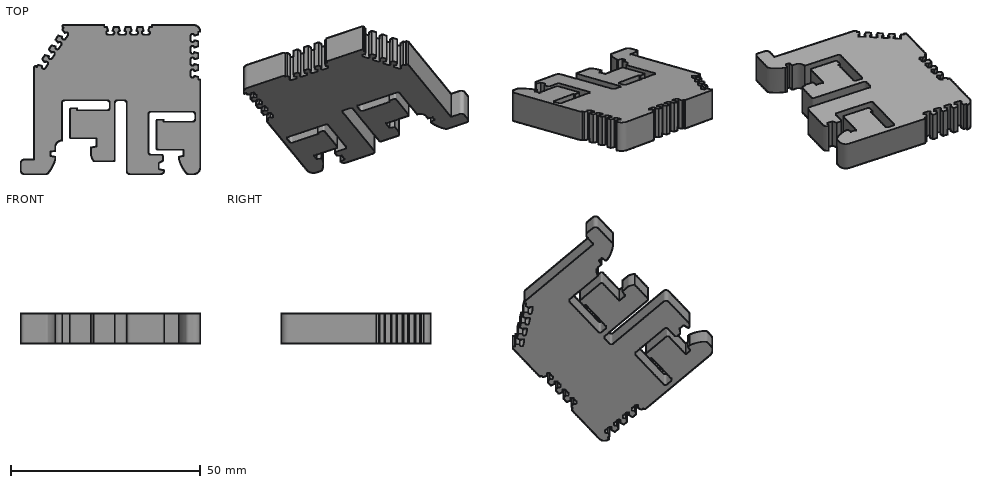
import cadquery as cq
import math

LENGTH = 47.5
HEIGHT = 39.5
THICKNESS = 8.0

FOOT_HEIGHT = 3.95
WALL_X = 3.5
SLOPE_BOTTOM = (WALL_X, 28.25)
SLOPE_TOP = (11.25, HEIGHT)

SLOT_COUNT = 4
SLOT_PITCH = 3.15
RACK_LENGTH = SLOT_COUNT * SLOT_PITCH
RECESS_DEPTH = 0.5
RECESS_END_RADIUS = 0.2
MOUTH_WIDTH = 1.8
NECK_WIDTH = 1.15
NECK_DEPTH = 1.1
BULB_HEIGHT = 0.95
TOP_RACK_X = 28.4
SIDE_RACK_Y = 31.35

SLOT_HEIGHT = 2.55
BLOCK_GAP = 2.05
BLOCK_HEIGHT = 8.0
LIP_LENGTH = 1.9

LEFT_SLOT_X = 10.95
LEFT_SLOT_END = 23.5
LEFT_SLOT_TOP = 19.5
LEFT_SHOULDER_X = 20.0

RIGHT_SLOT_X = 33.8
RIGHT_SLOT_END = 46.08
RIGHT_SLOT_TOP = 16.55
RIGHT_SHOULDER_X = 43.05

HOOK_HEIGHT = 4.05
HOOK_REACH = 2.25
HOOK_BULGE = -0.3
LEFT_HOOK_X = 9.2
RIGHT_HOOK_X = 41.8
LEFT_HOOK_BASE = (LEFT_HOOK_X - HOOK_REACH, 0)
RIGHT_HOOK_BASE = (RIGHT_HOOK_X + HOOK_REACH, 0)
HOOK_TIP_TOP = 4.65
RIGHT_HOOK_ROOT_Y = 4.95

NOTCH_X = 7.95
NOTCH_BOTTOM = 4.9
NOTCH_TOP = 6.0
NOTCH_MOUTH_TOP = 6.18
COVE_BOTTOM = 7.55
COVE_TOP = 8.95
COVE_RADIUS = 1.8

LEG_TIP_X = 18.55
LEG_TIP_TOP = 7.12
LEG_SHOULDER_Y = 7.4
LEG_FLANK_TOP = 5.05
LEG_BASE_X = 19.35
LEG_BOTTOM = 3.45
LEG_BULGE = -0.1
SLIT_LEFT = 24.95
SLIT_RIGHT = 28.0

TOE_LEDGE_Y = 5.22
TOE_UPPER_X = 37.65
TOE_LOWER_X = 38.0
TOE_BASE_X = 36.85
TOE_TIP_Y = 1.1
TOE_RADIUS = 1.2
TOE_NOTCH_X = 36.55
TOE_NOTCH_BOTTOM = 1.42
TOE_NOTCH_TOP = 3.0
TOE_UPPER_Y = 3.6

OUTER_RADIUS = 1.9
FOOT_RADIUS = 1.0
SLOT_RADIUS = 0.55
BLOCK_RADIUS = 0.45


def prism(sketch):
    return sketch.close().extrude(THICKNESS)


def arc_middle(start, end, bulge):
    """Point beside the middle of a chord, offset to the left of its direction."""
    dx = end[0] - start[0]
    dy = end[1] - start[1]
    chord = math.hypot(dx, dy)
    return (
        (start[0] + end[0]) / 2 - bulge * dy / chord,
        (start[1] + end[1]) / 2 + bulge * dx / chord,
    )


def arc_to(sketch, start, end, bulge):
    return sketch.threePointArc(arc_middle(start, end, bulge), end)


def blank():
    return prism(
        cq.Workplane("XY").polyline([
            (0, 0),
            (0, FOOT_HEIGHT),
            (WALL_X, FOOT_HEIGHT),
            SLOPE_BOTTOM,
            SLOPE_TOP,
            (LENGTH, HEIGHT),
            (LENGTH, 0),
        ])
    )


def spring_slot(left, top, end, shoulder_x):
    """Corners of the slot and block, from the slot's upper left to the block's shoulder."""
    block_left = left + BLOCK_GAP
    block_top = top - BLOCK_GAP
    block_bottom = block_top - BLOCK_HEIGHT
    return [
        (left, top),
        (end, top),
        (end, top - SLOT_HEIGHT),
        (block_left + LIP_LENGTH, top - SLOT_HEIGHT),
        (block_left + LIP_LENGTH, block_top),
        (block_left, block_top),
        (block_left, block_bottom),
        (shoulder_x, block_bottom),
    ]


LEFT_SLOT = spring_slot(LEFT_SLOT_X, LEFT_SLOT_TOP, LEFT_SLOT_END, LEFT_SHOULDER_X)
RIGHT_SLOT = spring_slot(RIGHT_SLOT_X, RIGHT_SLOT_TOP, RIGHT_SLOT_END, RIGHT_SHOULDER_X)


def left_bay():
    hook_tip = (LEFT_HOOK_X, HOOK_HEIGHT)
    cove_start = (LEFT_HOOK_X, COVE_BOTTOM)
    cove_end = (LEFT_SLOT_X, COVE_TOP)
    leg_flank_top = (LEG_TIP_X, LEG_FLANK_TOP)
    leg_flank_bottom = (LEG_BASE_X, LEG_BOTTOM)

    void = cq.Workplane("XY").moveTo(*LEFT_HOOK_BASE)
    void = arc_to(void, LEFT_HOOK_BASE, hook_tip, HOOK_BULGE)
    void = (
        void.lineTo(LEFT_HOOK_X, HOOK_TIP_TOP)
        .lineTo(NOTCH_X, NOTCH_BOTTOM)
        .lineTo(NOTCH_X, NOTCH_TOP)
        .lineTo(LEFT_HOOK_X, NOTCH_MOUTH_TOP)
        .lineTo(*cove_start)
        .radiusArc(cove_end, COVE_RADIUS)
    )
    for corner in LEFT_SLOT:
        void = void.lineTo(*corner)
    void = (
        void.lineTo(LEFT_SHOULDER_X, LEG_SHOULDER_Y)
        .lineTo(LEG_TIP_X, LEG_TIP_TOP)
        .lineTo(*leg_flank_top)
    )
    void = arc_to(void, leg_flank_top, leg_flank_bottom, LEG_BULGE)
    return prism(
        void.lineTo(SLIT_LEFT, LEG_BOTTOM)
        .lineTo(SLIT_LEFT, LEFT_SLOT_TOP)
        .lineTo(SLIT_RIGHT, LEFT_SLOT_TOP)
        .lineTo(SLIT_RIGHT, 0)
    )


def right_bay():
    toe_base = (TOE_BASE_X, 0)
    toe_tip = (TOE_LOWER_X, TOE_TIP_Y)
    hook_tip = (RIGHT_HOOK_X, HOOK_HEIGHT)

    void = cq.Workplane("XY").moveTo(*toe_base)
    void = (
        void.radiusArc(toe_tip, -TOE_RADIUS)
        .lineTo(TOE_NOTCH_X, TOE_NOTCH_BOTTOM)
        .lineTo(TOE_NOTCH_X, TOE_NOTCH_TOP)
        .lineTo(TOE_UPPER_X, TOE_UPPER_Y)
        .lineTo(TOE_UPPER_X, TOE_LEDGE_Y)
        .lineTo(RIGHT_SLOT_X, TOE_LEDGE_Y)
    )
    for corner in RIGHT_SLOT:
        void = void.lineTo(*corner)
    void = (
        void.lineTo(RIGHT_SHOULDER_X, RIGHT_HOOK_ROOT_Y)
        .lineTo(RIGHT_HOOK_X, HOOK_TIP_TOP)
        .lineTo(*hook_tip)
    )
    return prism(arc_to(void, hook_tip, RIGHT_HOOK_BASE, HOOK_BULGE))


def rack(center, angle):
    """Cutter for one rack; its edge runs along local X and it cuts toward local -Y."""
    half = RACK_LENGTH / 2
    cutter = prism(
        cq.Workplane("XY")
        .moveTo(-half, -RECESS_DEPTH)
        .lineTo(-half, 0)
        .lineTo(half + RECESS_END_RADIUS, 0)
        .radiusArc((half, -RECESS_END_RADIUS), -RECESS_END_RADIUS)
        .lineTo(half, -RECESS_DEPTH)
    )
    neck_y = -RECESS_DEPTH - NECK_DEPTH
    for index in range(SLOT_COUNT):
        x = (index - (SLOT_COUNT - 1) / 2) * SLOT_PITCH
        mouth = prism(
            cq.Workplane("XY").polyline([
                (x - MOUTH_WIDTH / 2, -RECESS_DEPTH),
                (x + MOUTH_WIDTH / 2, -RECESS_DEPTH),
                (x + NECK_WIDTH / 2, neck_y),
                (x - NECK_WIDTH / 2, neck_y),
            ])
        )
        bulb = (
            cq.Workplane("XY")
            .center(x, neck_y - BULB_HEIGHT / 2)
            .slot2D(NECK_WIDTH + BULB_HEIGHT, BULB_HEIGHT)
            .extrude(THICKNESS)
        )
        cutter = cutter.union(mouth).union(bulb)
    return cutter.rotate((0, 0, 0), (0, 0, 1), angle).translate((center[0], center[1], 0))


def round_corners(body, radius, corners):
    """Fillet the upright edges standing on the given profile corners."""
    for x, y in corners:
        edge = cq.selectors.NearestToPointSelector((x, y, THICKNESS / 2))
        body = body.edges("|Z").edges(edge).fillet(radius)
    return body


body = blank().cut(left_bay()).cut(right_bay())

body = round_corners(body, OUTER_RADIUS, [(LENGTH, HEIGHT), (LENGTH, 0)])

slope_rise = SLOPE_TOP[1] - SLOPE_BOTTOM[1]
slope_run = SLOPE_TOP[0] - SLOPE_BOTTOM[0]
slope_center = arc_middle(SLOPE_BOTTOM, SLOPE_TOP, 0)
slope_angle = math.degrees(math.atan2(slope_rise, slope_run))
body = body.cut(rack(slope_center, slope_angle))
body = body.cut(rack((TOP_RACK_X, HEIGHT), 0))
body = body.cut(rack((LENGTH, SIDE_RACK_Y), -90))

feet = [(0, 0), (0, FOOT_HEIGHT), LEFT_HOOK_BASE, (SLIT_RIGHT, 0), RIGHT_HOOK_BASE]
slit_top = [(SLIT_LEFT, LEFT_SLOT_TOP), (SLIT_RIGHT, LEFT_SLOT_TOP)]
ledge_ends = [(RIGHT_SLOT_X, TOE_LEDGE_Y), (TOE_UPPER_X, TOE_LEDGE_Y)]
leg_corner = (SLIT_LEFT, LEG_BOTTOM)

body = round_corners(body, FOOT_RADIUS, feet)
body = round_corners(body, SLOT_RADIUS, LEFT_SLOT[:3] + RIGHT_SLOT[:3] + slit_top + ledge_ends)
body = round_corners(body, BLOCK_RADIUS, LEFT_SLOT[5:7] + RIGHT_SLOT[5:7] + [leg_corner])

result = body